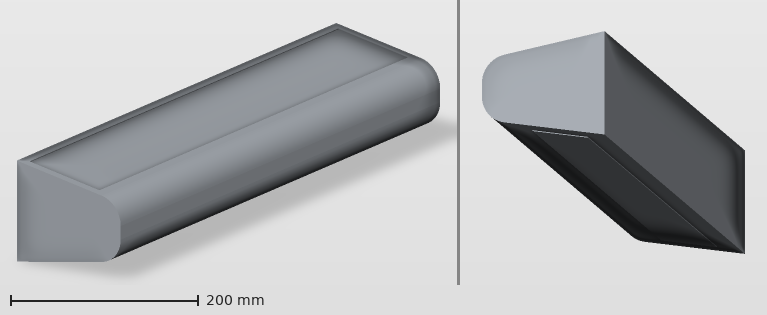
import cadquery as cq
import math

DEPTH = 135.0
LENGTH = 596.0
BACK_HEIGHT = 113.0

SLOPE = math.radians(10.0)
NOSE_RADIUS = 30.0

RECESS_MARGIN = 10.0
RECESS_DEPTH = 1.0

PAD_MARGIN = 25.0
PAD_HEIGHT = 1.0

HALF_BACK = BACK_HEIGHT / 2
NOSE_HALF_HEIGHT = HALF_BACK - DEPTH * math.tan(SLOPE)

NOSE_START_X = DEPTH - NOSE_RADIUS * (1 - math.sin(SLOPE))
FACE_WIDTH = NOSE_START_X / math.cos(SLOPE)

UPPER = 1
LOWER = -1


def make_body():
    """Tapered bar along Y, centred on Y and Z, with its back face at X = 0."""
    return (
        cq.Workplane("XZ")
        .moveTo(0, -HALF_BACK)
        .lineTo(DEPTH, -NOSE_HALF_HEIGHT)
        .lineTo(DEPTH, NOSE_HALF_HEIGHT)
        .lineTo(0, HALF_BACK)
        .close()
        .extrude(LENGTH / 2, both=True)
        .edges("|Y and >X")
        .fillet(NOSE_RADIUS)
    )


def make_panel(side, margin, height):
    """Rectangular block on a sloping face, inset by margin all round.

    A positive height stands out of the face, a negative one goes into it.
    """
    face = cq.Plane(
        origin=(0, 0, side * HALF_BACK),
        xDir=(math.cos(SLOPE), 0, -side * math.sin(SLOPE)),
        normal=(math.sin(SLOPE), 0, side * math.cos(SLOPE)),
    )
    return (
        cq.Workplane(face)
        .center(FACE_WIDTH / 2, 0)
        .rect(FACE_WIDTH - 2 * margin, LENGTH - 2 * margin)
        .extrude(height)
    )


recess = make_panel(UPPER, RECESS_MARGIN, -RECESS_DEPTH)
pad = make_panel(LOWER, PAD_MARGIN, PAD_HEIGHT)

result = make_body().cut(recess).union(pad)